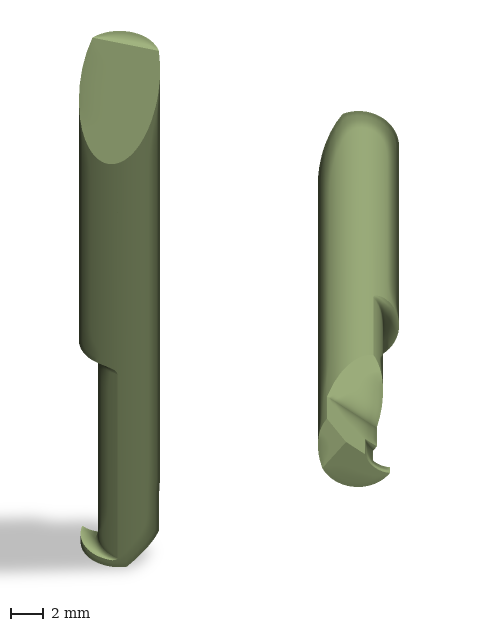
import math

import cadquery as cq

SHANK_RADIUS = 2.5
TOTAL_LENGTH = 39.5
END_FLAT_Y = 1.3
END_SLOPE_ANGLE = 30.0

NECK_RADIUS = 2.5
NECK_AXIS_X = 1.22
NECK_TOP_Z = 16.45
NECK_TOP_FILLET = 0.6
NECK_BOTTOM_FILLET = 0.2
NECK_SIDE_X = NECK_AXIS_X - NECK_RADIUS

FLAT_Y = 0.15
FLAT_LENGTH = 4.4
FLAT_RUNOUT_ANGLE = 30.0

TIP_HEIGHT = 0.75
FLANK_RADIUS = 2.49
FLANK_AXIS_X = 0.1
FLANK_LAND_LENGTH = 0.27
SIDE_CLEARANCE_ANGLE = 2.0
BOTTOM_RELIEF_ANGLE = 1.0
CORNER_CHAMFER = 1.5
CUTTING_EDGE_X = FLANK_AXIS_X - FLANK_RADIUS

GROOVE_HEIGHT = 2.0
GROOVE_BOTTOM = (-1.45, -0.25)
GROOVE_END_X = -0.4

REACH = 2 * SHANK_RADIUS
SLAB_SIZE = 4 * REACH


def run_along_axis(rise, angle):
    """Length along Z of a slope that rises by `rise` at `angle` to the axis."""
    return rise / math.tan(math.radians(angle))


def bar():
    return cq.Workplane("XY").circle(SHANK_RADIUS).extrude(TOTAL_LENGTH)


def end_slope_cutter():
    """Wedge on the -Y side of the far end."""
    outer_y = -REACH
    slope_run = run_along_axis(END_FLAT_Y - outer_y, END_SLOPE_ANGLE)
    return (
        cq.Workplane("YZ")
        .moveTo(END_FLAT_Y, TOTAL_LENGTH)
        .lineTo(outer_y, TOTAL_LENGTH)
        .lineTo(outer_y, TOTAL_LENGTH - slope_run)
        .close()
        .extrude(REACH, both=True)
    )


def slab_below_plane(height, tilt_x, tilt_y):
    """Thick slab whose top face crosses the cutting edge at `height`, tilted about X and then Y."""
    return (
        cq.Workplane("XY")
        .box(SLAB_SIZE, SLAB_SIZE, SLAB_SIZE)
        .translate((0, 0, -SLAB_SIZE / 2))
        .rotate((0, 0, 0), (1, 0, 0), tilt_x)
        .rotate((0, 0, 0), (0, 1, 0), tilt_y)
        .translate((CUTTING_EDGE_X, 0, height))
    )


def neck_cutter():
    """Space beside the neck, above the tip, with its inner corners rounded to leave fillets."""
    block = (
        cq.Workplane("XY")
        .rect(SLAB_SIZE, SLAB_SIZE)
        .extrude(NECK_TOP_Z)
        .cut(slab_below_plane(TIP_HEIGHT, SIDE_CLEARANCE_ANGLE, 0))
    )
    neck = (
        cq.Workplane("XY", origin=(NECK_AXIS_X, 0, 0))
        .circle(NECK_RADIUS)
        .extrude(NECK_TOP_Z)
    )
    return (
        block.cut(neck)
        .edges("%CIRCLE")
        .fillet(NECK_TOP_FILLET)
        .edges("%ELLIPSE")
        .fillet(NECK_BOTTOM_FILLET)
    )


def flat_cutter():
    """Removes the +Y side of the cutting end, running out on a slope."""
    runout = run_along_axis(REACH - FLAT_Y, FLAT_RUNOUT_ANGLE)
    return (
        cq.Workplane("YZ")
        .moveTo(FLAT_Y, 0)
        .lineTo(FLAT_Y, FLAT_LENGTH)
        .lineTo(REACH, FLAT_LENGTH + runout)
        .lineTo(REACH, 0)
        .close()
        .extrude(REACH, both=True)
    )


def corner_cutter():
    """45 degree chamfer on the +X corner of the cutting end."""
    return (
        cq.Workplane("XZ")
        .moveTo(SHANK_RADIUS - CORNER_CHAMFER, 0)
        .lineTo(SHANK_RADIUS, CORNER_CHAMFER)
        .lineTo(SHANK_RADIUS, 0)
        .close()
        .extrude(REACH, both=True)
    )


def flank_cutter():
    """Trims the tip to the flank radius, with a short straight land at the cutting edge."""
    land_end_x = FLANK_AXIS_X - math.sqrt(FLANK_RADIUS**2 - FLANK_LAND_LENGTH**2)
    front = (FLANK_AXIS_X, -FLANK_RADIUS)
    back = (FLANK_AXIS_X + FLANK_RADIUS, 0)
    outline = (
        cq.Workplane("XY")
        .moveTo(CUTTING_EDGE_X, 0)
        .lineTo(land_end_x, -FLANK_LAND_LENGTH)
        .radiusArc(front, -FLANK_RADIUS)
        .radiusArc(back, -FLANK_RADIUS)
        .lineTo(FLANK_AXIS_X + FLANK_RADIUS, REACH)
        .lineTo(CUTTING_EDGE_X, REACH)
        .close()
        .extrude(TIP_HEIGHT)
    )
    block = cq.Workplane("XY").rect(2 * REACH, 2 * REACH).extrude(TIP_HEIGHT)
    return block.cut(outline)


def bottom_cutter():
    """Relieves the bottom face so that it rises away from the tip of the cutting edge."""
    return slab_below_plane(0, -SIDE_CLEARANCE_ANGLE, -BOTTOM_RELIEF_ANGLE)


def groove_cutter():
    """Shallow hollow behind the cutting edge, parallel to the bar axis."""
    return (
        cq.Workplane("XY")
        .moveTo(CUTTING_EDGE_X, 0)
        .threePointArc(GROOVE_BOTTOM, (GROOVE_END_X, FLAT_Y))
        .lineTo(GROOVE_END_X, REACH)
        .lineTo(-REACH, REACH)
        .lineTo(-REACH, 0)
        .close()
        .extrude(GROOVE_HEIGHT)
    )


def beside_neck():
    """Everything on the -X side of the neck, up to the top fillet of the neck."""
    return (
        cq.Workplane("XY")
        .rect(SLAB_SIZE, SLAB_SIZE)
        .extrude(NECK_TOP_Z - NECK_TOP_FILLET)
        .translate((NECK_SIDE_X - SLAB_SIZE / 2, 0, 0))
    )


def cutting_end_cuts(body):
    """The cuts of the cutting end, which run across both bodies."""
    for cutter in (flat_cutter(), corner_cutter(), flank_cutter(), bottom_cutter(), groove_cutter()):
        body = body.cut(cutter)
    return body


shaped_bar = cutting_end_cuts(bar())

holder = shaped_bar.cut(end_slope_cutter()).cut(neck_cutter()).cut(beside_neck())

tip_top = slab_below_plane(TIP_HEIGHT, SIDE_CLEARANCE_ANGLE, 0)
cutting_tip = shaped_bar.intersect(beside_neck()).intersect(tip_top)

result = cq.Compound.makeCompound([holder.val(), cutting_tip.val()])